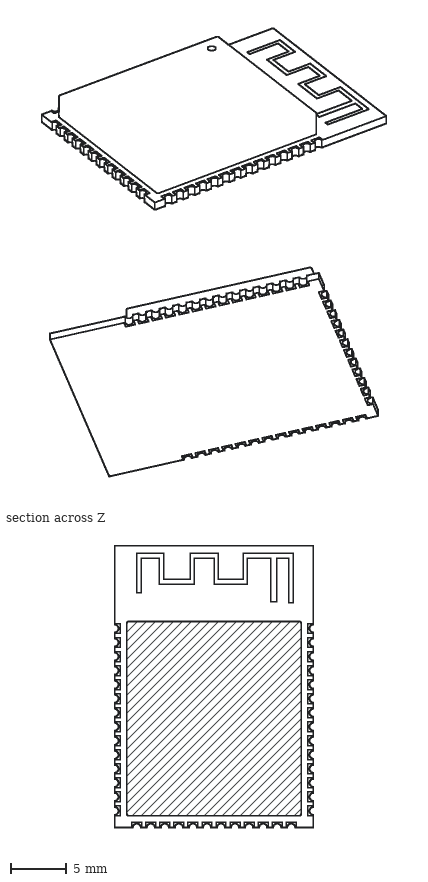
import cadquery as cq

BOARD_WIDTH = 18.0
BOARD_LENGTH = 25.5
BOARD_THICKNESS = 0.8
COPPER_THICKNESS = 0.02

CAN_WIDTH = 15.8
CAN_LENGTH = 17.6
CAN_FRONT_MARGIN = 1.05
CAN_HEIGHT = 2.3
CAN_EDGE_RADIUS = 0.2

DOT_DIAMETER = 0.75
DOT_DEPTH = 0.02
DOT_FROM_LEFT = 2.6
DOT_FROM_BACK = 8.56

PAD_PITCH = 1.27
PAD_WIDTH = 0.9
SIDE_PAD_COUNT = 14
SIDE_PAD_DEPTH = 0.5
SIDE_PAD_FRONT_MARGIN = 1.5
FRONT_PAD_COUNT = 12
FRONT_PAD_DEPTH = 0.5
NOTCH_RADIUS = 0.35

TRACE_WIDTH = 0.38
RUN_WIDTH = 0.46
UPPER_RUN = 0.66
LOWER_RUN = 3.04
MEANDER_LEGS = (2.02, 4.06, 6.83, 9.02, 11.63)
OPEN_END = 4.25
FEED_LEG = 14.12
FEED_WIDTH = 0.55
FEED_END = 5.08
GROUND_LEG = 15.78
GROUND_END = 5.18

LEFT = -BOARD_WIDTH / 2
BACK = BOARD_LENGTH / 2
FRONT = -BOARD_LENGTH / 2
BOARD_BOTTOM = COPPER_THICKNESS
BOARD_TOP = BOARD_BOTTOM + BOARD_THICKNESS
COPPER_TOP = BOARD_TOP + COPPER_THICKNESS
CAN_TOP = BOARD_TOP + CAN_HEIGHT


def block(x_min, x_max, y_min, y_max, z_min, z_max):
    """Box given by its limits on each axis."""
    size = (x_max - x_min, y_max - y_min, z_max - z_min)
    return cq.Workplane("XY").box(*size, centered=False).translate((x_min, y_min, z_min))


def pad(x_min, x_max, y_min, y_max):
    """Pad reaching through the board, standing proud of both its faces."""
    return block(x_min, x_max, y_min, y_max, 0, COPPER_TOP)


def antenna_bar(from_left, width, from_back, end_from_back):
    """Straight antenna stretch, reaching down through the board so that the two fuse cleanly."""
    x_min = LEFT + from_left
    y_min = BACK - end_from_back
    return block(x_min, x_min + width, y_min, BACK - from_back, BOARD_BOTTOM, COPPER_TOP)


def make_antenna():
    """Meandering trace whose legs are joined alternately at the back and at the front."""
    bars = [
        antenna_bar(MEANDER_LEGS[0], TRACE_WIDTH, UPPER_RUN, OPEN_END),
        antenna_bar(FEED_LEG, FEED_WIDTH, UPPER_RUN, FEED_END),
        antenna_bar(GROUND_LEG, TRACE_WIDTH, UPPER_RUN, GROUND_END),
    ]
    for leg in MEANDER_LEGS[1:]:
        bars.append(antenna_bar(leg, TRACE_WIDTH, UPPER_RUN, LOWER_RUN + RUN_WIDTH))
    run_ends = MEANDER_LEGS + (GROUND_LEG,)
    for index, start in enumerate(MEANDER_LEGS):
        run = UPPER_RUN if index % 2 == 0 else LOWER_RUN
        length = run_ends[index + 1] + TRACE_WIDTH - start
        bars.append(antenna_bar(start, length, run, run + RUN_WIDTH))
    antenna = bars[0]
    for bar in bars[1:]:
        antenna = antenna.union(bar)
    return antenna


def side_pad_centres():
    """Y positions of the pads along each long edge."""
    first = FRONT + SIDE_PAD_FRONT_MARGIN
    return [first + index * PAD_PITCH for index in range(SIDE_PAD_COUNT)]


def front_pad_centres():
    """X positions of the pads along the front edge."""
    first = -(FRONT_PAD_COUNT - 1) * PAD_PITCH / 2
    return [first + index * PAD_PITCH for index in range(FRONT_PAD_COUNT)]


def add_pads(board):
    """Add the edge pads, then cut a half-round notch through each."""
    half = PAD_WIDTH / 2
    notch_points = []
    for y in side_pad_centres():
        board = board.union(pad(LEFT, LEFT + SIDE_PAD_DEPTH, y - half, y + half))
        board = board.union(pad(-LEFT - SIDE_PAD_DEPTH, -LEFT, y - half, y + half))
        notch_points += [(LEFT, y), (-LEFT, y)]
    for x in front_pad_centres():
        board = board.union(pad(x - half, x + half, FRONT, FRONT + FRONT_PAD_DEPTH))
        notch_points.append((x, FRONT))
    notches = cq.Workplane("XY").pushPoints(notch_points).circle(NOTCH_RADIUS).extrude(COPPER_TOP)
    return board.cut(notches)


def make_can():
    """Solid shield can with rounded corners and lid edge, and the pin-one dot."""
    half_width = CAN_WIDTH / 2
    front = FRONT + CAN_FRONT_MARGIN
    can = block(-half_width, half_width, front, front + CAN_LENGTH, BOARD_TOP, CAN_TOP)
    can = can.edges("|Z or >Z").fillet(CAN_EDGE_RADIUS)
    dot_floor = (LEFT + DOT_FROM_LEFT, BACK - DOT_FROM_BACK, CAN_TOP - DOT_DEPTH)
    dot = cq.Workplane("XY", origin=dot_floor)
    return can.cut(dot.circle(DOT_DIAMETER / 2).extrude(DOT_DEPTH))


board = block(LEFT, -LEFT, FRONT, BACK, BOARD_BOTTOM, BOARD_TOP)
board = add_pads(board).union(make_antenna())
result = board.union(make_can())